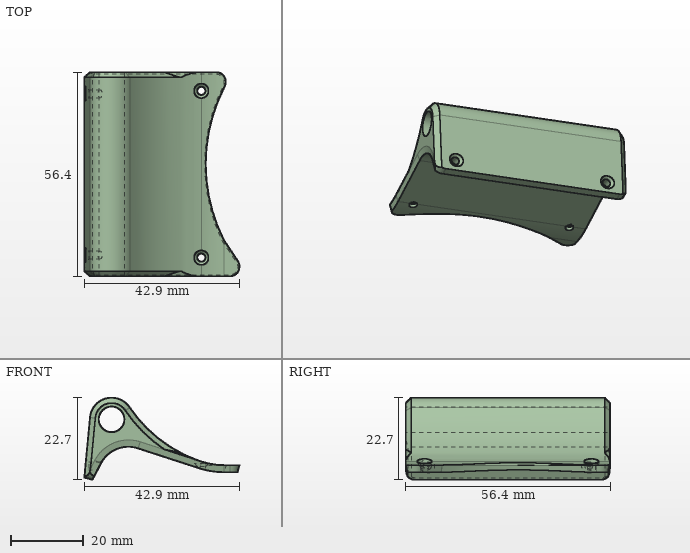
import cadquery as cq
import math

length = 56.38
boss_radius = 6.0
bore_diameter = 7.0
face_lean = 5.42
plate_thickness = 2.0
plate_slope = 18.0
plate_end = (24.8, -11.62)
tail_radius = 20.0
saddle_radius = 8.5
saddle_x = 4.6
flange_angle = 62.5
left_x = -7.55
bottom_z = -16.7

end_chamfer = 1.5
chamfer_angle = 45.0
edge_draft = 15.0
ramp_length = 14.0
ramp_height = 0.5
flange_corner_radius = 2.6

waist_x = 26.0
waist_y = 2.8
waist_radius = 46.5
tail_start_y = -18.2
tail_edge_angle = 33.7
tail_corner_radius = 2.73

screw_diameter = 2.2
screw_head_diameter = 4.0
plate_screw_x = 24.75
plate_screw_y = 23.0
plate_sink_z = -12.1
face_screw_y = 22.25
face_screw_z = -12.75
screw_reach = 6.0

far = 60.0

half_length = length / 2
chamfer_start = half_length - end_chamfer
slope = math.radians(plate_slope)
lean = math.radians(face_lean)
flange = math.radians(flange_angle)


def polar(center, radius, angle):
    """Point (x, z) at an angle in radians, counter-clockwise from +X."""
    return (center[0] + radius * math.cos(angle), center[1] + radius * math.sin(angle))


slope_normal = (math.sin(slope), math.cos(slope))
end_square = plate_end[0] ** 2 + plate_end[1] ** 2
end_along_normal = plate_end[0] * slope_normal[0] + plate_end[1] * slope_normal[1]
web_radius = (end_square - boss_radius ** 2) / (2 * (boss_radius - end_along_normal))
web_center = polar(plate_end, web_radius, math.pi / 2 - slope)
boss_to_web = math.atan2(web_center[1], web_center[0])
web_start = polar((0, 0), boss_radius, boss_to_web)
web_from = boss_to_web + math.pi
web_to = 1.5 * math.pi - slope
web_middle = polar(web_center, web_radius, (web_from + web_to) / 2)

face_start = polar((0, 0), boss_radius, math.pi - lean)
face_end = (left_x, (boss_radius + left_x * math.cos(lean)) / math.sin(lean))
face_bottom = (face_start[0] - far * math.tan(lean), face_start[1] - far)
boss_top = (0, boss_radius)

saddle_drop = (saddle_radius + plate_thickness) / math.cos(slope)
saddle_center = (
    saddle_x,
    plate_end[1] + (plate_end[0] - saddle_x) * math.tan(slope) - saddle_drop,
)
saddle_from = math.pi / 2 + flange
saddle_to = math.pi / 2 - slope

flange_start = polar(saddle_center, saddle_radius, saddle_from)
flange_tip = (flange_start[0] - (flange_start[1] - bottom_z) / math.tan(flange), bottom_z)

tail_center = polar(plate_end, tail_radius, math.pi / 2 - slope)
tail_from = 1.5 * math.pi - slope
tail_to = 1.5 * math.pi
tail_top_z = tail_center[1] - tail_radius


def plate_curve(sketch, depth):
    """Draw the plate's curve at a depth below its top, from the saddle's left end to the far right."""
    arc_radius = saddle_radius + plate_thickness - depth
    bend_radius = tail_radius + depth
    return (
        sketch.lineTo(*polar(saddle_center, arc_radius, saddle_from))
        .threePointArc(
            polar(saddle_center, arc_radius, (saddle_from + saddle_to) / 2),
            polar(saddle_center, arc_radius, saddle_to),
        )
        .lineTo(*polar(tail_center, bend_radius, tail_from))
        .threePointArc(
            polar(tail_center, bend_radius, (tail_from + tail_to) / 2),
            polar(tail_center, bend_radius, tail_to),
        )
        .lineTo(far, tail_top_z - depth)
    )


def upper_outline(sketch):
    """Draw from the end of the web back over the boss to the start of the left face."""
    return sketch.threePointArc(web_middle, web_start).threePointArc(boss_top, face_start)


def section(y):
    """Sketch plane normal to Y, with its normal toward -Y."""
    return cq.Workplane("XZ", origin=(0, y, 0))


def make_profile_bar():
    """Full cross section along the whole length, running on past the tail."""
    sketch = section(half_length).moveTo(*face_end).lineTo(*flange_tip)
    sketch = plate_curve(sketch, plate_thickness)
    sketch = (
        sketch.lineTo(far, tail_top_z)
        .lineTo(tail_center[0], tail_top_z)
        .threePointArc(polar(tail_center, tail_radius, (tail_from + tail_to) / 2), plate_end)
    )
    return upper_outline(sketch).close().extrude(length)


def plate_side(y, depth, rim_z):
    """Closed outline in the plane at y, from the plate's curve at a depth out to the height rim_z."""
    curve_start = polar(saddle_center, saddle_radius + plate_thickness - depth, saddle_from)
    flange_far = (curve_start[0] - far, curve_start[1] - far * math.tan(flange))
    sketch = section(y).moveTo(*flange_far)
    sketch = plate_curve(sketch, depth)
    return sketch.lineTo(far, rim_z).lineTo(flange_far[0], rim_z).close()


def make_leaning_edge():
    """Everything above the leaning edge face of the plate over the last stretch at the -Y end."""
    edge_inset = plate_thickness * math.tan(math.radians(edge_draft))
    inner_y = edge_inset - half_length
    inner = plate_side(inner_y, plate_thickness, far).val()
    outer = plate_side(-half_length, 0, far).val()
    drafted = cq.Workplane(cq.Solid.makeLoft([inner, outer], True))
    plain = plate_side(-chamfer_start, plate_thickness, far).extrude(end_chamfer - edge_inset)
    return drafted.union(plain)


def make_ramp():
    """Wedge on the plate top that fades the web chamfer out toward the end of the slope."""
    buried = plate_thickness / 2
    start_plane = cq.Plane(
        origin=(plate_end[0], -half_length, plate_end[1]),
        xDir=(0, -1, 0),
        normal=(-math.cos(slope), 0, math.sin(slope)),
    )
    return (
        cq.Workplane(start_plane)
        .polyline([(0, 0), (-end_chamfer, ramp_height), (-end_chamfer, -buried), (0, -buried)])
        .close()
        .extrude(ramp_length)
    )


def make_end_envelope():
    """Space that bounds the last stretch at the -Y end: chamfered web, ramp and plate."""
    web_exit = (far, plate_end[1] - (far - plate_end[0]) * math.tan(slope))
    sketch = section(-chamfer_start).moveTo(*face_bottom).lineTo(far, face_bottom[1])
    sketch = sketch.lineTo(*web_exit).lineTo(*plate_end)
    chamfered = upper_outline(sketch).close().extrude(end_chamfer, taper=chamfer_angle)
    plate = plate_side(-chamfer_start, 0, -2 * far).extrude(end_chamfer)
    left_bound = (
        section(-chamfer_start)
        .polyline([face_start, face_bottom, (far, face_bottom[1]), (far, face_start[1])])
        .close()
        .extrude(end_chamfer, taper=chamfer_angle)
    )
    filled = chamfered.union(make_ramp()).union(plate.intersect(left_bound))
    return filled.intersect(make_leaning_edge())


def make_tail_waste():
    """Material around the tail: outside its concave +X edge and rounded corners."""
    waist_center_x = waist_x + waist_radius

    def waist_edge(y):
        return waist_center_x - math.sqrt(waist_radius ** 2 - (y - waist_y) ** 2)

    tail_start = (waist_edge(tail_start_y), tail_start_y)
    tail_edge_run = (tail_start_y + half_length) * math.tan(math.radians(tail_edge_angle))
    keep = (
        cq.Workplane("XY", origin=(0, 0, tail_top_z))
        .moveTo(0, -half_length)
        .lineTo(tail_start[0] + tail_edge_run, -half_length)
        .lineTo(*tail_start)
        .threePointArc((waist_x, waist_y), (waist_edge(half_length), half_length))
        .lineTo(0, half_length)
        .close()
        .extrude(far)
        .edges("|Z")
        .edges("<Y or >Y")
        .fillet(tail_corner_radius)
    )
    keep = keep.faces("<Z").wires().toPending().extrude(-2 * plate_thickness, taper=edge_draft)
    reach = cq.Workplane("XY").box(far, 2 * far, far, centered=(False, True, True))
    return reach.translate((plate_end[0], 0, 0)).cut(keep)


def make_flange_corner_waste():
    """Material outside the rounded lower corner of the flange at the -Y end."""
    edge_run = flange_tip[0] - face_end[0]
    edge_drop = face_end[1] - flange_tip[1]
    corner_plane = cq.Plane(
        origin=(face_end[0], -half_length, face_end[1]),
        xDir=(0, 1, 0),
        normal=(edge_run, 0, -edge_drop),
    )
    return (
        cq.Workplane(corner_plane)
        .moveTo(0, flange_corner_radius)
        .radiusArc((flange_corner_radius, 0), -flange_corner_radius)
        .lineTo(0, 0)
        .close()
        .extrude(2 * plate_thickness, both=True)
    )


def make_screw_cutter(point, direction):
    """Through hole with a countersink; the axis enters the part at point along direction."""
    head_radius = screw_head_diameter / 2
    screw_radius = screw_diameter / 2
    entry = cq.Vector(*point)
    axis = cq.Vector(*direction)
    hole = cq.Solid.makeCylinder(screw_radius, screw_reach, entry, axis)
    sink = cq.Solid.makeCone(head_radius, screw_radius, head_radius - screw_radius, entry, axis)
    clearance = cq.Solid.makeCylinder(head_radius, head_radius, entry, axis * -1)
    return cq.Workplane(hole.fuse(sink).fuse(clearance))


def make_body():
    """Bar with both shaped ends, mirrored about the middle of its length."""
    bar = make_profile_bar()
    end_stretch = section(-chamfer_start).rect(4 * far, 4 * far).extrude(end_chamfer)
    end_waste = end_stretch.cut(make_end_envelope())
    end_waste = end_waste.union(make_flange_corner_waste())
    body = bar.cut(end_waste).cut(end_waste.mirror("XZ"))
    bore = section(half_length).circle(bore_diameter / 2).extrude(length)
    return body.cut(bore).cut(make_tail_waste())


def cut_screw_holes(body):
    """Two vertical holes through the plate and two along X through the flange."""
    face_screw_x = (face_screw_z * math.sin(lean) - boss_radius) / math.cos(lean)
    for side in (-1, 1):
        plate_screw = (plate_screw_x, side * plate_screw_y, plate_sink_z)
        face_screw = (face_screw_x, side * face_screw_y, face_screw_z)
        body = body.cut(make_screw_cutter(plate_screw, (0, 0, -1)))
        body = body.cut(make_screw_cutter(face_screw, (1, 0, 0)))
    return body


result = cut_screw_holes(make_body())